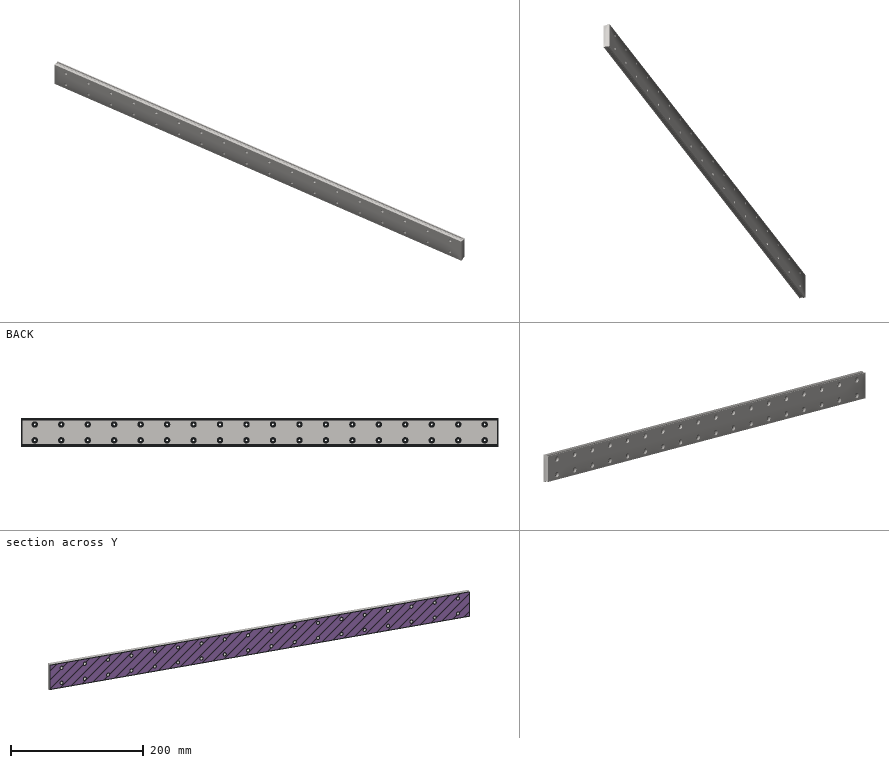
import cadquery as cq

LENGTH = 720.0
THICKNESS = 9.5
HEIGHT = 42.0
FRONT_CHAMFER = 0.5

LEDGE_WIDTH = 5.2
LEDGE_DROP = 1.15

GROOVE_WIDTH = 2.8
GROOVE_DEPTH = 1.3
GROOVE_BACK_LIP = 1.5
GROOVE_END_WALL = 1.0

HOLE_DIAMETER = 4.5
COUNTERBORE_DIAMETER = 8.0
COUNTERBORE_DEPTH = 4.5
HOLE_PITCH = 40.0
HOLES_PER_ROW = 18
ROW_SPACING = 24.0

FRONT_Y = -THICKNESS / 2
BACK_Y = THICKNESS / 2
TOP_Z = HEIGHT / 2
LEDGE_Z = TOP_Z - LEDGE_DROP


def make_plate():
    """Extrude the cross-section, which is symmetric about the mid-height plane, along X."""
    ledge_start_y = BACK_Y - LEDGE_WIDTH
    upper_outline = [
        (FRONT_Y, TOP_Z - FRONT_CHAMFER),
        (FRONT_Y + FRONT_CHAMFER, TOP_Z),
        (ledge_start_y - LEDGE_DROP, TOP_Z),
        (ledge_start_y, LEDGE_Z),
        (BACK_Y, LEDGE_Z),
    ]
    lower_outline = [(y, -z) for y, z in reversed(upper_outline)]
    section = cq.Workplane("YZ").polyline(upper_outline + lower_outline).close()
    return section.extrude(LENGTH / 2, both=True)


def make_groove(side):
    """Cutter for the groove in the upper (side = 1) or lower (side = -1) ledge."""
    center_y = BACK_Y - GROOVE_BACK_LIP - GROOVE_WIDTH / 2
    center_z = side * (LEDGE_Z - GROOVE_DEPTH / 2)
    groove = cq.Workplane("XY").box(LENGTH - 2 * GROOVE_END_WALL, GROOVE_WIDTH, GROOVE_DEPTH)
    return groove.translate((0, center_y, center_z))


def drill_holes(plate):
    """Drill the screw holes through the thickness, counterbored from the back face."""
    back_face = plate.faces(">Y").workplane(origin=(0, BACK_Y, 0))
    centers = back_face.rarray(HOLE_PITCH, ROW_SPACING, HOLES_PER_ROW, 2)
    return centers.cboreHole(HOLE_DIAMETER, COUNTERBORE_DIAMETER, COUNTERBORE_DEPTH)


result = make_plate()
for side in (1, -1):
    result = result.cut(make_groove(side))
result = drill_holes(result)